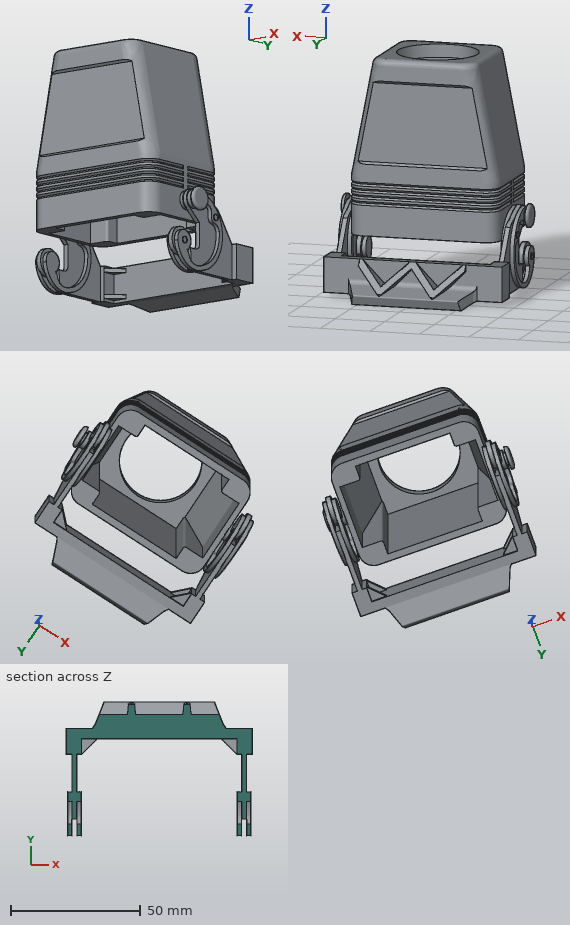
import cadquery as cq
import math


HOOD_HALF_X = 30.1
HOOD_TOP_HALF_X = 21.0
HOOD_HALF_Y = 21.4
HOOD_HEIGHT = 69.8
SKIRT_HEIGHT = 23.2
CORNER_RADIUS = 6.0
TOP_FILLET = 2.4
SKIRT_BLEND = 7.4

WALL = 2.2
ROOF = 5.2
ENTRY_RADIUS = 16.0
PILLAR_FACE_X = 19.4
PILLAR_FACE_Y = 12.8
PILLAR_EDGE_RADIUS = 0.9
CAVITY_HALF_Y = 18.6

PANEL_DEPTH = 0.9
PANEL_BOTTOM = 28.3
PANEL_TOP = 61.5

GROOVE_COUNT = 4
GROOVE_PITCH = 2.5
GROOVE_DEPTH = 0.7
TOP_GROOVE_Z = 20.3
GROOVE_GAP = 2.8

PIVOT_Z = 7.4
PIN_RADIUS = 2.5
PIN_ROOT_X = 28.3
PIN_HEAD_RADIUS = 4.6
PIN_HEAD_THICKNESS = 1.5
PIN_HEAD_FILLET = 1.0
PIN_SPAN = 76.0
PIN_END_X = PIN_SPAN / 2

ARM_INNER_X = 30.2
HOOK_THICKNESS = 1.7
LEVER_THICKNESS = 1.95
LEVER_INNER_X = ARM_INNER_X + HOOK_THICKNESS
LEVER_OUTER_X = LEVER_INNER_X + LEVER_THICKNESS
ARM_OUTER_X = LEVER_OUTER_X + HOOK_THICKNESS
LEVER_BOSS_RADIUS = 4.1
HOOK_BOSS_RADIUS = 3.7
HOOK_CENTRE_Z = -5.0
HOOK_OUTER_RADIUS = 15.9
HOOK_INNER_RADIUS = 13.9
NOTCH_Y = 3.8
NOTCH_Z = -12.0
NOTCH_FILLET = 2.1
ROLLER_CENTRE = (-7.4, -10.0)
ROLLER_RADIUS = 5.5
HOOK_END_RADIUS = 4.1
RIVET_CENTRE = (11.6, 1.9)
RIVET_RADIUS = 1.3
RIVET_RAISE = 0.4

BAR_HALF_X = 36.0
BAR_BOTTOM = -20.6
BAR_TOP = -6.6
BAR_BACK_Y = 33.8
BAR_FRONT_Y = 29.7
BAR_END_Y = 23.8
BAR_END_INNER_X = 30.0
GUSSET_THICKNESS = 1.6
GUSSET_BOTTOMS = (-9.1, -19.4)

TAB_ROOT_HALF_X = 25.4
TAB_TIP_HALF_X = 21.3
TAB_TIP_Y = 44.3
TAB_TIP_Z = -19.1
TAB_TIP_LOW_Y = 42.4
TAB_LOW_Z = -23.1
TAB_ROOT_TOP = -16.3
TAB_TIP_FILLET = 0.5
TAB_ROOT_FILLET = 1.5
TAB_SIDE_FLARE = 0.5
RIB_OUTER_X = 21.4
RIB_CENTRE_X = RIB_OUTER_X / 2
RIB_PEAK_Y = 43.5
RIB_SHARP_PEAK_Y = 44.2
POCKET_HALF_X = 9.6
POCKET_PEAK_Y = 41.3


def rounded_rect(z, half_x, half_y, radius):
    sketch = cq.Sketch().rect(2 * half_x, 2 * half_y).vertices().fillet(radius)
    return cq.Workplane("XY", origin=(0, 0, z)).placeSketch(sketch)


def tapered_block(z0, z1, half_x0, half_x1, half_y, radius):
    lower = cq.Sketch().rect(2 * half_x0, 2 * half_y).vertices().fillet(radius)
    upper = cq.Sketch().rect(2 * half_x1, 2 * half_y).vertices().fillet(radius)
    upper = upper.moved(cq.Location(cq.Vector(0, 0, z1 - z0)))
    return cq.Workplane("XY", origin=(0, 0, z0)).placeSketch(lower, upper).loft(ruled=True)


def box(x0, x1, y0, y1, z0, z1):
    return cq.Workplane("XY").box(x1 - x0, y1 - y0, z1 - z0, centered=False).translate((x0, y0, z0))


def side_plane(x):
    """Sketch plane with local axes Y and Z, extruding toward +X."""
    return cq.Workplane("YZ", origin=(x, 0, 0))


def disc(x0, x1, centre, radius):
    return side_plane(x0).center(*centre).circle(radius).extrude(x1 - x0)


def solid_from_corners(faces):
    sides = [cq.Face.makeFromWires(cq.Wire.makePolygon(face, close=True)) for face in faces]
    return cq.Workplane("XY").add(cq.Solid.makeSolid(cq.Shell.makeShell(sides)))


def hood_outside():
    skirt = rounded_rect(0, HOOD_HALF_X, HOOD_HALF_Y, CORNER_RADIUS).extrude(SKIRT_HEIGHT)
    upper = tapered_block(
        SKIRT_HEIGHT, HOOD_HEIGHT, HOOD_HALF_X, HOOD_TOP_HALF_X, HOOD_HALF_Y, CORNER_RADIUS
    )
    hood = skirt.union(upper.faces(">Z").edges().fillet(TOP_FILLET))
    for side_x in (-HOOD_HALF_X, HOOD_HALF_X):
        bend = cq.selectors.NearestToPointSelector((side_x, 0, SKIRT_HEIGHT))
        hood = hood.edges("|Y").edges(bend).fillet(SKIRT_BLEND)
    return hood


def hood_cavity():
    """Space that follows the sloping sides, leaving a straight pillar in each corner."""
    roof_z = HOOD_HEIGHT - ROOF
    slope = (HOOD_HALF_X - HOOD_TOP_HALF_X) / (HOOD_HEIGHT - SKIRT_HEIGHT)
    skirt_half_x = HOOD_HALF_X - WALL
    roof_half_x = HOOD_TOP_HALF_X + slope * ROOF - WALL
    cavity = (
        cq.Workplane("XZ")
        .polyline([
            (-skirt_half_x, 0),
            (skirt_half_x, 0),
            (skirt_half_x, SKIRT_HEIGHT),
            (roof_half_x, roof_z),
            (-roof_half_x, roof_z),
            (-skirt_half_x, SKIRT_HEIGHT),
        ])
        .close()
        .extrude(CAVITY_HALF_Y, both=True)
    )
    pillar = box(PILLAR_FACE_X, HOOD_HALF_X, PILLAR_FACE_Y, HOOD_HALF_Y, 0, roof_z)
    pillar = pillar.edges("|Z and <X and <Y").fillet(PILLAR_EDGE_RADIUS)
    pillar_pair = pillar.union(pillar.mirror("XZ"))
    cavity = cavity.cut(pillar_pair).cut(pillar_pair.mirror("YZ"))
    entry = cq.Workplane("XY").circle(ENTRY_RADIUS).extrude(HOOD_HEIGHT)
    return cavity.union(entry)


def panel_recess():
    """Recess with 45 degree ends across the full width of the -Y face."""
    floor_y = PANEL_DEPTH - HOOD_HALF_Y
    return (
        side_plane(-HOOD_HALF_X)
        .polyline([
            (-HOOD_HALF_Y, PANEL_BOTTOM),
            (floor_y, PANEL_BOTTOM + PANEL_DEPTH),
            (floor_y, PANEL_TOP - PANEL_DEPTH),
            (-HOOD_HALF_Y, PANEL_TOP),
        ])
        .close()
        .extrude(2 * HOOD_HALF_X)
    )


def grip_groove(z):
    """V groove around the skirt, interrupted at the middle of each X side."""
    half_x = HOOD_HALF_X - GROOVE_DEPTH
    half_y = HOOD_HALF_Y - GROOVE_DEPTH
    waist = rounded_rect(z, half_x, half_y, CORNER_RADIUS - GROOVE_DEPTH).extrude(GROOVE_DEPTH, taper=-45)
    core = waist.union(waist.mirror("XY", (0, 0, z)))
    band = box(
        -HOOD_HALF_X, HOOD_HALF_X, -HOOD_HALF_Y, HOOD_HALF_Y, z - GROOVE_DEPTH, z + GROOVE_DEPTH
    )
    gap = GROOVE_GAP / 2
    bridge = box(-HOOD_HALF_X, HOOD_HALF_X, -gap, gap, z - GROOVE_DEPTH, z + GROOVE_DEPTH)
    return band.cut(core).cut(bridge)


def make_hood():
    hood = hood_outside().cut(hood_cavity())
    recess = panel_recess()
    hood = hood.cut(recess).cut(recess.mirror("XZ"))
    for index in range(GROOVE_COUNT):
        hood = hood.cut(grip_groove(TOP_GROOVE_Z - index * GROOVE_PITCH))
    return hood


def pivot_pin():
    pin = disc(PIN_ROOT_X, PIN_END_X, (0, PIVOT_Z), PIN_RADIUS)
    head = disc(PIN_END_X - PIN_HEAD_THICKNESS, PIN_END_X, (0, PIVOT_Z), PIN_HEAD_RADIUS)
    return pin.union(head.faces(">X").edges().fillet(PIN_HEAD_FILLET))


def lever_plate():
    """Plate from the bar to the pivot, with a square notch open toward -Y."""
    plate = (
        side_plane(LEVER_INNER_X)
        .polyline([
            (BAR_END_Y, BAR_BOTTOM),
            (BAR_END_Y, BAR_TOP),
            (15.3, 5.5),
            (14.1, 6.3),
            (9.7, 8.0),
            (1.4, 11.2),
            (-2.7, 4.4),
            (NOTCH_Y, -1.1),
            (NOTCH_Y, NOTCH_Z),
            (-1.6, NOTCH_Z),
            (-1.2, BAR_BOTTOM),
        ])
        .close()
        .extrude(LEVER_THICKNESS)
    )
    inner_corner = cq.selectors.NearestToPointSelector((LEVER_INNER_X, NOTCH_Y, NOTCH_Z))
    plate = plate.edges("|X").edges(inner_corner).fillet(NOTCH_FILLET)
    return plate.union(disc(LEVER_INNER_X, LEVER_OUTER_X, (0, PIVOT_Z), LEVER_BOSS_RADIUS))


def hook_plate(x):
    """C-shaped plate from the pivot round to the roller, with a pad for the upper rivet."""
    diagonal = HOOK_INNER_RADIUS * math.sqrt(0.5)
    hook = (
        side_plane(x)
        .moveTo(0, HOOK_CENTRE_Z + HOOK_OUTER_RADIUS)
        .threePointArc((HOOK_OUTER_RADIUS, HOOK_CENTRE_Z), (0, HOOK_CENTRE_Z - HOOK_OUTER_RADIUS))
        .threePointArc((-6.7, -18.8), (-11.5, -10.7))
        .lineTo(*ROLLER_CENTRE)
        .lineTo(-4.8, -14.95)
        .threePointArc((-3.5, -17.4), (0, HOOK_CENTRE_Z - HOOK_INNER_RADIUS))
        .threePointArc((diagonal, HOOK_CENTRE_Z - diagonal), (HOOK_INNER_RADIUS, HOOK_CENTRE_Z))
        .threePointArc((13.2, -1.9), (11.1, -0.6))
        .threePointArc((9.75, 0.1), (9.2, 1.4))
        .lineTo(9.2, 3.2)
        .threePointArc((8.4, 5.4), (6.3, 6.3))
        .lineTo(0, 6.3)
        .close()
        .extrude(HOOK_THICKNESS)
    )
    hook = hook.union(disc(x, x + HOOK_THICKNESS, (0, PIVOT_Z), HOOK_BOSS_RADIUS))
    return hook.union(disc(x, x + HOOK_THICKNESS, ROLLER_CENTRE, HOOK_END_RADIUS))


def make_arm():
    arm = pivot_pin().union(lever_plate())
    arm = arm.union(hook_plate(ARM_INNER_X)).union(hook_plate(LEVER_OUTER_X))
    arm = arm.union(disc(LEVER_INNER_X, LEVER_OUTER_X, ROLLER_CENTRE, ROLLER_RADIUS))
    for centre in (RIVET_CENTRE, ROLLER_CENTRE):
        arm = arm.union(disc(LEVER_OUTER_X, ARM_OUTER_X + RIVET_RAISE, centre, RIVET_RADIUS))
    return arm


def make_bar():
    bar = box(-BAR_HALF_X, BAR_HALF_X, BAR_END_Y, BAR_BACK_Y, BAR_BOTTOM, BAR_TOP)
    bar = bar.cut(
        box(-BAR_END_INNER_X, BAR_END_INNER_X, BAR_END_Y, BAR_FRONT_Y, BAR_BOTTOM, BAR_TOP)
    )
    gusset_leg = BAR_FRONT_Y - BAR_END_Y
    for bottom in GUSSET_BOTTOMS:
        gusset = (
            cq.Workplane("XY", origin=(0, 0, bottom))
            .polyline([
                (BAR_END_INNER_X, BAR_END_Y),
                (BAR_END_INNER_X, BAR_FRONT_Y),
                (BAR_END_INNER_X - gusset_leg, BAR_FRONT_Y),
            ])
            .close()
            .extrude(GUSSET_THICKNESS)
        )
        bar = bar.union(gusset).union(gusset.mirror("YZ"))
    return bar


def tab_plate():
    """Sloping plate that narrows toward its rounded tip, flared where it meets the bar."""
    flare = TAB_ROOT_FILLET
    arc_reach = flare * (1 - math.sqrt(0.5))
    flare_y = BAR_BACK_Y + flare
    top_slope = (TAB_ROOT_TOP - TAB_TIP_Z) / (TAB_TIP_Y - BAR_BACK_Y)
    flare_z = TAB_ROOT_TOP - top_slope * flare
    profile = (
        side_plane(-TAB_ROOT_HALF_X - TAB_SIDE_FLARE)
        .moveTo(BAR_BACK_Y, BAR_BOTTOM)
        .lineTo(BAR_BACK_Y, TAB_ROOT_TOP + flare)
        .threePointArc((BAR_BACK_Y + arc_reach, TAB_ROOT_TOP + arc_reach), (flare_y, flare_z))
        .lineTo(TAB_TIP_Y, TAB_TIP_Z)
        .lineTo(TAB_TIP_LOW_Y, TAB_LOW_Z)
        .close()
        .extrude(2 * (TAB_ROOT_HALF_X + TAB_SIDE_FLARE))
        .edges("|X and >Y or |X and <Z")
        .fillet(TAB_TIP_FILLET)
    )
    side_slope = (TAB_ROOT_HALF_X - TAB_TIP_HALF_X) / (TAB_TIP_Y - BAR_BACK_Y)
    flare_x = TAB_ROOT_HALF_X - side_slope * flare
    half_outline = (
        cq.Workplane("XY", origin=(0, 0, TAB_LOW_Z))
        .moveTo(0, BAR_BACK_Y)
        .lineTo(TAB_ROOT_HALF_X + TAB_SIDE_FLARE, BAR_BACK_Y)
        .lineTo(flare_x, flare_y)
        .lineTo(TAB_TIP_HALF_X, TAB_TIP_Y)
        .lineTo(0, TAB_TIP_Y)
        .close()
        .extrude(BAR_TOP - TAB_LOW_Z)
    )
    return profile.intersect(half_outline.union(half_outline.mirror("YZ")))


def keel(peak_y):
    """V-bottomed wedge under the tab's slope: widest at the bar, closing to a point at peak_y.

    Wedges with different peaks share the same side angles, so one inside another leaves an even wall.
    """
    reach = peak_y - BAR_BACK_Y
    scale = reach / (POCKET_PEAK_Y - BAR_BACK_Y)
    half_x = scale * POCKET_HALF_X
    depth = scale * (BAR_TOP - TAB_ROOT_TOP)
    fall = (BAR_TOP - TAB_TIP_Z) / (TAB_TIP_Y - BAR_BACK_Y)
    left = (RIB_CENTRE_X - half_x, BAR_BACK_Y, BAR_TOP)
    right = (RIB_CENTRE_X + half_x, BAR_BACK_Y, BAR_TOP)
    bottom = (RIB_CENTRE_X, BAR_BACK_Y, BAR_TOP - depth)
    peak = (RIB_CENTRE_X, peak_y, BAR_TOP - fall * reach)
    return solid_from_corners([
        (left, right, bottom),
        (left, peak, right),
        (left, bottom, peak),
        (right, peak, bottom),
    ])


def make_tab():
    """Plate carrying two folded ribs, each hollowed from above by a V-shaped pocket."""
    rib_limits = box(0, RIB_OUTER_X, BAR_BACK_Y, RIB_PEAK_Y, TAB_LOW_Z, BAR_TOP)
    rib = keel(RIB_SHARP_PEAK_Y).intersect(rib_limits)
    pocket = keel(POCKET_PEAK_Y)
    tab = tab_plate().union(rib).union(rib.mirror("YZ"))
    return tab.cut(pocket).cut(pocket.mirror("YZ"))


arm = make_arm()
result = make_hood().union(make_bar()).union(make_tab())
result = result.union(arm).union(arm.mirror("YZ"))